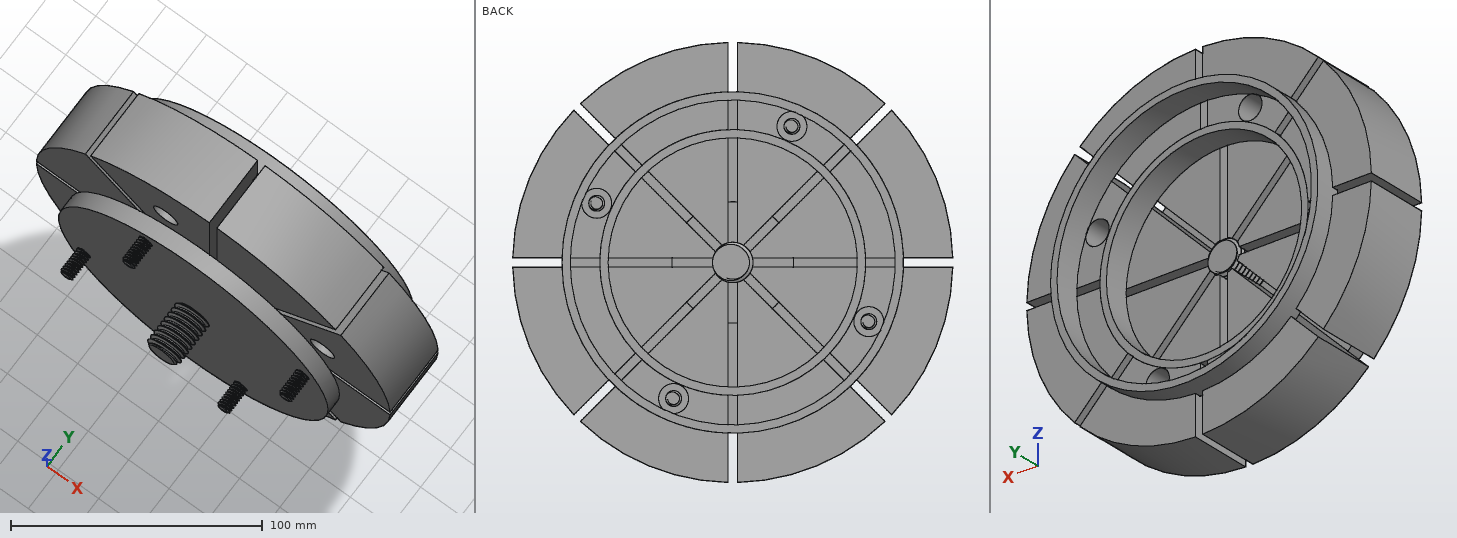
import cadquery as cq
import math


DISC_RADIUS = 87.5
DISC_THICKNESS = 32.2
HUB_RADIUS = 24.1
HUB_LENGTH = 5.6
SLOT_COUNT = 8
SLOT_WIDTH = 3.7
SLOT_DEPTH_IN_HUB = 1.4
ACCESS_HOLE_RADIUS = 6.0

RING_HEIGHT = 12.6
RING_WALL = 3.3
OUTER_RING_RADIUS = 67.9
INNER_RING_RADIUS = 52.8
INNER_RING_FRONT = 16.5
OUTER_RING_FRONT = INNER_RING_FRONT + RING_HEIGHT

PLATE_RADIUS = 66.7
PLATE_THICKNESS = 7.7
PLATE_BACK = -HUB_LENGTH
PLATE_FRONT = PLATE_BACK - PLATE_THICKNESS
STUD_RADIUS = 8.0
STUD_ROOT_RADIUS = 6.6
STUD_PITCH = 2.31
STUD_TIP = -34.5
STUD_TIP_RADIUS = 6.1
STUD_TIP_CHAMFER = 1.5

SCREW_COUNT = 4
SCREW_RADIUS = 3.1
SCREW_ROOT_RADIUS = 2.36
SCREW_PITCH = 1.28
SCREW_TIP = -25.2
SCREW_TIP_RADIUS = 2.3
SCREW_TIP_CHAMFER = 0.5
SCREW_CIRCLE_RADIUS = 59.0
SCREW_START_ANGLE = 23.5

THREAD_FLAT = 0.12
RIDGE_EMBED = 0.3


def cylinder(radius, front, back):
    """Solid cylinder on the Y axis between two Y positions."""
    return cq.Workplane("XZ", origin=(0, back, 0)).circle(radius).extrude(back - front)


def screw_points():
    """X, Z positions of the screws on their circle."""
    angles = [math.radians(SCREW_START_ANGLE + 360 / SCREW_COUNT * i) for i in range(SCREW_COUNT)]
    return [(SCREW_CIRCLE_RADIUS * math.cos(a), SCREW_CIRCLE_RADIUS * math.sin(a)) for a in angles]


def screw_holes(radius, front, back):
    """One cylinder at each screw position."""
    return cq.Workplane("XZ", origin=(0, back, 0)).pushPoints(screw_points()).circle(radius).extrude(back - front)


def thread_ridge(radius, root_radius, pitch, length):
    """Right-hand helical ridge around Z, one pitch longer than the rod at both ends."""
    foot_radius = root_radius - RIDGE_EMBED
    half_foot = pitch * (1 - THREAD_FLAT) / 2
    half_crest = pitch * THREAD_FLAT / 2
    profile = [
        (foot_radius, -half_foot),
        (radius, -half_crest),
        (radius, half_crest),
        (foot_radius, half_foot),
    ]
    edges = [
        cq.Wire.makeHelix(pitch, length + 2 * pitch, r, cq.Vector(0, 0, z - pitch)).Edges()[0]
        for r, z in profile
    ]
    sides = [cq.Face.makeRuledSurface(edges[i - 1], edges[i]) for i in range(len(edges))]
    end_corners = [[e.startPoint() for e in edges], [e.endPoint() for e in edges]]
    ends = [cq.Face.makeFromWires(cq.Wire.makePolygon(corners, close=True)) for corners in end_corners]
    return cq.Workplane(cq.Solid.makeSolid(cq.Shell.makeShell(sides + ends)))


def threaded_rod(radius, root_radius, pitch, tip_radius, tip_chamfer, tip, back):
    """Rod on the Y axis with a right-hand V thread and a chamfered tip that points to -Y."""
    length = back - tip
    clear_radius = 1.2 * radius
    cone_length = tip_chamfer * (clear_radius - tip_radius) / (radius - tip_radius)
    envelope = (
        cq.Workplane("XZ")
        .lineTo(clear_radius, 0)
        .lineTo(clear_radius, length - cone_length)
        .lineTo(tip_radius, length)
        .lineTo(0, length)
        .close()
        .revolve(360, (0, 0), (0, 1))
    )
    core = cq.Workplane("XY").circle(root_radius).extrude(length).intersect(envelope)
    ridge = thread_ridge(radius, root_radius, pitch, length).intersect(envelope)
    rod = core.union(ridge)
    return rod.rotate((0, 0, 0), (1, 0, 0), 90).translate((0, back, 0))


def make_collet():
    disc = cylinder(DISC_RADIUS, 0, DISC_THICKNESS)
    hub = cylinder(HUB_RADIUS, -HUB_LENGTH, 0)
    collet = disc.union(hub)
    collet = collet.cut(cylinder(OUTER_RING_RADIUS, OUTER_RING_FRONT, DISC_THICKNESS))
    collet = collet.cut(cylinder(INNER_RING_RADIUS, INNER_RING_FRONT, OUTER_RING_FRONT))
    collet = collet.cut(cylinder(STUD_RADIUS, -HUB_LENGTH, INNER_RING_FRONT))
    collet = collet.cut(screw_holes(ACCESS_HOLE_RADIUS, 0, DISC_THICKNESS))
    slot_length = DISC_THICKNESS + SLOT_DEPTH_IN_HUB
    slot = cq.Workplane("XY").box(2.2 * DISC_RADIUS, slot_length, SLOT_WIDTH)
    slot = slot.translate((0, slot_length / 2 - SLOT_DEPTH_IN_HUB, 0))
    for i in range(SLOT_COUNT // 2):
        collet = collet.cut(slot.rotate((0, 0, 0), (0, 1, 0), 360 / SLOT_COUNT * i))
    return collet


def make_ring(radius, front):
    back = front + RING_HEIGHT
    return cylinder(radius, front, back).cut(cylinder(radius - RING_WALL, front, back))


def make_plate():
    plate = cylinder(PLATE_RADIUS, PLATE_FRONT, PLATE_BACK)
    plate = plate.cut(screw_holes(SCREW_RADIUS, PLATE_FRONT, PLATE_BACK))
    stud = threaded_rod(
        STUD_RADIUS, STUD_ROOT_RADIUS, STUD_PITCH, STUD_TIP_RADIUS, STUD_TIP_CHAMFER, STUD_TIP, INNER_RING_FRONT
    )
    return plate.union(stud)


def make_screws():
    screw = threaded_rod(
        SCREW_RADIUS, SCREW_ROOT_RADIUS, SCREW_PITCH, SCREW_TIP_RADIUS, SCREW_TIP_CHAMFER, SCREW_TIP, PLATE_BACK
    )
    return [screw.translate((x, 0, z)) for x, z in screw_points()]


collet = make_collet()
outer_ring = make_ring(OUTER_RING_RADIUS, OUTER_RING_FRONT)
inner_ring = make_ring(INNER_RING_RADIUS, INNER_RING_FRONT)
plate = make_plate()
screws = make_screws()

result = cq.Compound.makeCompound(
    [collet.val(), outer_ring.val(), inner_ring.val(), plate.val(), *[screw.val() for screw in screws]]
)